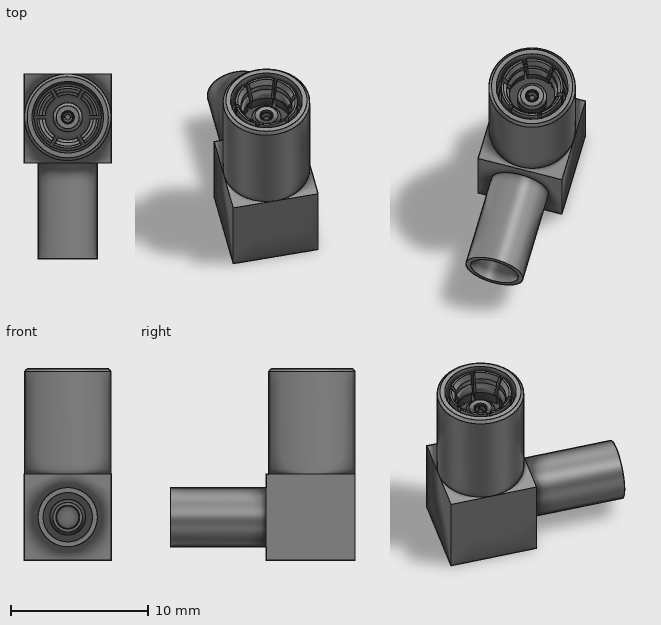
import cadquery as cq

block_width = 6.35
block_length = 6.5
block_height = 6.3

overall_height = 14.0
shell_radius = 3.16
shell_chamfer = 0.2
block_back = shell_radius
block_front = block_back - block_length

bore_radius = 2.61
inner_bore_radius = 2.45
bore_step_depth = 1.8
floor_depth = 2.7
floor_z = overall_height - floor_depth

finger_count = 6
finger_slot = 0.28
collet_recess = 0.11
collet_outer_radius = 2.25
collet_mouth_radius = 2.1
collet_inner_radius = 1.86
collet_throat_radius = 1.65
lead_in_bottom = 0.52
bead_top = 0.95
bead_bottom = 1.95

dielectric_depth = 1.67
dielectric_radius = 1.06
dielectric_chamfer = 0.22
contact_hole_radius = 0.48
contact_hole_depth = 0.6
contact_radius = 0.44
contact_recess = 0.15
contact_mouth_radius = 0.36
contact_bottom_radius = 0.21
contact_socket_depth = 0.25
contact_slot = 0.06
contact_slot_count = 2
dielectric_top = overall_height - dielectric_depth
contact_top = dielectric_top - contact_recess
contact_hole_bottom = dielectric_top - contact_hole_depth

tube_radius = 2.16
tube_bore_radius = 1.8
tube_length = 7.0
tube_z = block_height / 2

boss_base_radius = 1.31
boss_end_radius = 1.08
boss_length = 0.8
socket_mouth_radius = 0.87
socket_bottom_radius = 0.82
socket_depth = 0.4


def cylinder(radius, bottom, top):
    """Cylinder on the mating axis between two heights."""
    return cq.Workplane("XY").workplane(offset=bottom).circle(radius).extrude(top - bottom)


def cone(start_radius, end_radius, length, start, direction):
    """Truncated cone growing from a start point along a direction."""
    return cq.Workplane(cq.Solid.makeCone(start_radius, end_radius, length, start, direction))


def radial_slots(count, width, reach, bottom, top):
    """Evenly spaced slots running outward from the mating axis, the first along +X."""
    slots = cq.Workplane("XY")
    for index in range(count):
        slot = (
            cq.Workplane("XY")
            .workplane(offset=bottom)
            .center(reach / 2, 0)
            .rect(reach, width)
            .extrude(top - bottom)
            .rotate((0, 0, 0), (0, 0, 1), index * 360 / count)
        )
        slots = slots.add(slot)
    return slots.combine()


def make_block():
    return (
        cq.Workplane("XY")
        .center(0, (block_front + block_back) / 2)
        .rect(block_width, block_length)
        .extrude(block_height)
    )


def make_shell():
    shell = cylinder(shell_radius, block_height, overall_height)
    return shell.faces(">Z").edges().chamfer(shell_chamfer)


def make_bore():
    """Mating bore, narrowed near its floor by a 45 degree step."""
    step = bore_radius - inner_bore_radius
    step_top = overall_height - bore_step_depth
    return (
        cq.Workplane("XZ")
        .moveTo(0, floor_z)
        .lineTo(inner_bore_radius, floor_z)
        .lineTo(inner_bore_radius, step_top - step)
        .lineTo(bore_radius, step_top)
        .lineTo(bore_radius, overall_height)
        .lineTo(0, overall_height)
        .close()
        .revolve(360, (0, 0, 0), (0, 1, 0))
    )


def make_collet():
    """Ring with a conical mouth and a rounded inner bead, slotted into fingers."""
    top = overall_height - collet_recess
    ring = (
        cq.Workplane("XZ")
        .moveTo(collet_outer_radius, floor_z)
        .lineTo(collet_outer_radius, top)
        .lineTo(collet_mouth_radius, top)
        .lineTo(collet_inner_radius, overall_height - lead_in_bottom)
        .lineTo(collet_inner_radius, overall_height - bead_top)
        .threePointArc(
            (collet_throat_radius, overall_height - (bead_top + bead_bottom) / 2),
            (collet_inner_radius, overall_height - bead_bottom),
        )
        .lineTo(collet_inner_radius, floor_z)
        .close()
        .revolve(360, (0, 0, 0), (0, 1, 0))
    )
    return ring.cut(radial_slots(finger_count, finger_slot, shell_radius, floor_z, top))


def make_dielectric():
    """Chamfered plug with a blind hole around the contact."""
    plug = cylinder(dielectric_radius, floor_z, dielectric_top)
    plug = plug.faces(">Z").edges().chamfer(dielectric_chamfer)
    return plug.cut(cylinder(contact_hole_radius, contact_hole_bottom, dielectric_top))


def make_contact():
    """Slotted contact with a conical socket in its end."""
    socket_bottom = contact_top - contact_socket_depth
    socket = cone(
        contact_bottom_radius,
        contact_mouth_radius,
        contact_socket_depth,
        cq.Vector(0, 0, socket_bottom),
        cq.Vector(0, 0, 1),
    )
    slots = radial_slots(contact_slot_count, contact_slot, contact_hole_radius, socket_bottom, contact_top)
    return cylinder(contact_radius, contact_hole_bottom, contact_top).cut(socket).cut(slots)


def make_tube():
    """Crimp tube, hollow down to the front face of the block."""
    return (
        cq.Workplane("XZ", origin=(0, block_front, tube_z))
        .circle(tube_radius)
        .circle(tube_bore_radius)
        .extrude(tube_length)
    )


def make_boss():
    """Tapered boss with a drafted socket, pointing along -Y inside the tube."""
    outward = cq.Vector(0, -1, 0)
    base = cq.Vector(0, block_front, tube_z)
    boss = cone(boss_base_radius, boss_end_radius, boss_length, base, outward)
    socket_base = base + outward * (boss_length - socket_depth)
    socket = cone(socket_bottom_radius, socket_mouth_radius, socket_depth, socket_base, outward)
    return boss.cut(socket)


result = (
    make_block()
    .union(make_shell())
    .cut(make_bore())
    .union(make_collet())
    .union(make_dielectric())
    .union(make_contact())
    .union(make_tube())
    .union(make_boss())
)